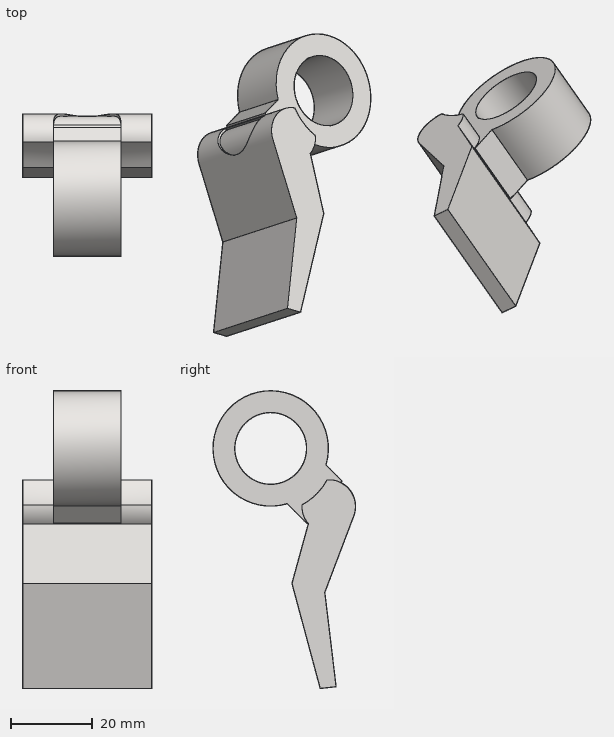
import cadquery as cq
import math

ring_radius = 14.2
bore_radius = 8.75
ring_width = 16.6
lever_width = 31.7

knuckle_offset = 14.25
knuckle_y = knuckle_offset
knuckle_z = -knuckle_offset
knuckle_radius = 6.6
relief_radius = 15.85

neck_half_height = 6.7
neck_back_length = 18.0
neck_front_length = 19.35

back_knee = (13.3, -35.3)
back_tip = (16.05, -58.4)
front_tip = (12.1, -58.85)
front_knee = (5.2, -33.1)
front_root_y = 9.2

recess_top_z = -8.9
recess_floor_radius = 6.0


def extrude_centered(profile, width):
    return profile.extrude(width / 2, both=True)


def cylinder_x(y, z, radius, width):
    return extrude_centered(cq.Workplane("YZ").center(y, z).circle(radius), width)


def back_tangent_point():
    """Point where the line from the back knee touches the knuckle."""
    dy = back_knee[0] - knuckle_y
    dz = back_knee[1] - knuckle_z
    angle = math.atan2(dz, dy) + math.acos(knuckle_radius / math.hypot(dy, dz))
    return (
        knuckle_y + knuckle_radius * math.cos(angle),
        knuckle_z + knuckle_radius * math.sin(angle),
    )


def make_lever():
    root_drop = math.sqrt(knuckle_radius**2 - (front_root_y - knuckle_y) ** 2)
    front_root = (front_root_y, knuckle_z - root_drop)
    knuckle_top = (knuckle_y, knuckle_z + knuckle_radius)
    profile = (
        cq.Workplane("YZ")
        .moveTo(*back_tangent_point())
        .lineTo(*back_knee)
        .lineTo(*back_tip)
        .lineTo(*front_tip)
        .lineTo(*front_knee)
        .lineTo(*front_root)
        .threePointArc(knuckle_top, back_tangent_point())
        .close()
    )
    lever = extrude_centered(profile, lever_width)
    return lever.cut(cylinder_x(0, 0, relief_radius, lever_width))


def make_neck():
    diagonal_plane = cq.Plane(origin=(0, 0, 0), xDir=(0, 1, -1), normal=(1, 0, 0))
    profile = cq.Workplane(diagonal_plane).polyline(
        [
            (0, neck_half_height),
            (neck_back_length, neck_half_height),
            (neck_front_length, -neck_half_height),
            (0, -neck_half_height),
        ]
    ).close()
    return extrude_centered(profile, ring_width)


def make_recess():
    """Lower half of a cylinder along Y, stopping at a round floor about the knuckle axis."""
    recess_radius = ring_width / 2
    half_round = (
        cq.Workplane("XZ", origin=(0, knuckle_y, 0))
        .moveTo(-recess_radius, recess_top_z)
        .threePointArc((0, recess_top_z - recess_radius), (recess_radius, recess_top_z))
        .close()
        .extrude(-2 * knuckle_radius)
    )
    return half_round.cut(cylinder_x(knuckle_y, knuckle_z, recess_floor_radius, ring_width))


ring = cylinder_x(0, 0, ring_radius, ring_width)
bore = cylinder_x(0, 0, bore_radius, ring_width)
result = make_lever().cut(make_recess()).union(make_neck()).union(ring).cut(bore)